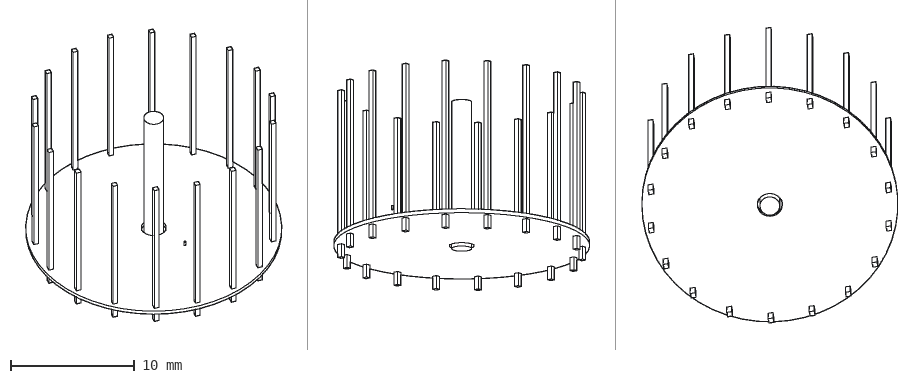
import cadquery as cq
import math

plate_diameter = 20.65
plate_thickness = 0.33
plate_hole_diameter = 2.0

bar_count = 18
bar_ring_radius = 9.72
bar_half_width = 0.2
bar_length = 13.93
bar_drop = 1.07

shaft_diameter = 1.6
shaft_length = 12.24
shaft_drop = 0.23

pin_diameter = 0.17
pin_length = 0.33
pin_x = 7.1
pin_y = -0.05
pin_bottom_z = 4.21


def cylinder(diameter, length, bottom_z, x=0, y=0):
    """Upright cylinder with its axis at (x, y)."""
    return cq.Workplane("XY", origin=(x, y, bottom_z)).circle(diameter / 2).extrude(length)


def make_cage():
    """Plate with a central hole and a ring of bars, all in one piece."""
    cage = cylinder(plate_diameter, plate_thickness, 0)
    cage = cage.cut(cylinder(plate_hole_diameter, plate_thickness, 0))
    for index in range(bar_count):
        angle = 2 * math.pi * index / bar_count
        bar_x = bar_ring_radius * math.cos(angle)
        bar_y = bar_ring_radius * math.sin(angle)
        bar = (
            cq.Workplane("XY", origin=(bar_x, bar_y, -bar_drop))
            .rect(2 * bar_half_width, 2 * bar_half_width)
            .extrude(bar_length)
        )
        cage = cage.union(bar)
    return cage


cage = make_cage()
shaft = cylinder(shaft_diameter, shaft_length, -shaft_drop)
pin = cylinder(pin_diameter, pin_length, pin_bottom_z, pin_x, pin_y)

result = cq.Compound.makeCompound([cage.val(), shaft.val(), pin.val()])